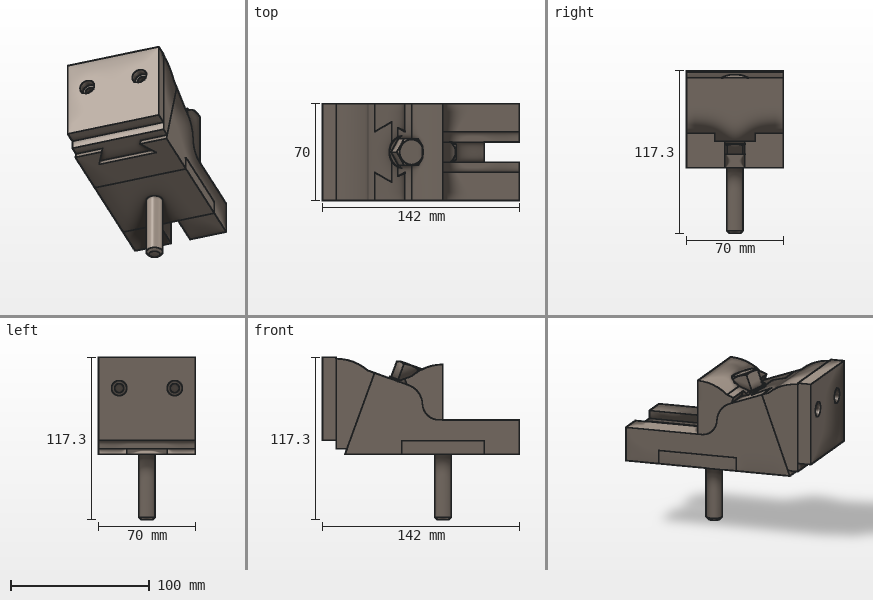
import cadquery as cq
import math

LENGTH = 142.0
WIDTH = 70.0
TILT = 20.0
TOP_Z = 70.0

BASE_RIGHT_X = 55.1
WEDGE_FOOT_X = -70.8
WEDGE_APEX_Z = 58.8
FOOT_Z = 24.9
SWEEP_START_X = -24.7
UPPER_SWEEP_RADIUS = 15.0
LOWER_SWEEP_RADIUS = 12.0
RECESS_FLOOR_Z = 19.0
SLOT_WIDTH = 14.5

NECK_WIDTH = 29.3
TONGUE_DEPTH = 13.4
FLARE = 28.5

PLATE_THICKNESS = 10.0
PLATE_HEIGHT = 60.0
PLATE_LEFT_X = BASE_RIGHT_X - LENGTH
JAW_TOP_Z = 69.0
JAW_BOTTOM_Z = 4.0
CREST_RUN = 22.6
HOOK_TOP_Z = 64.9
HOOK_NOSE_X = -27.5
HOOK_NOSE_Z = 54.5
HOLE_PITCH = 40.0
HOLE_Z = 47.7
HOLE_DIAMETER = 6.5
COUNTERBORE_DIAMETER = 11.0
COUNTERBORE_DEPTH = 6.0

THREAD_DIAMETER = 12.0
HEX_FLATS = 19.0
HEX_FACE_DIAMETER = 18.0
HEX_CHAMFER_ANGLE = 30.0
HEX_HALF_SIDE_ANGLE = 30.0
WASHER_DIAMETER = 24.0
WASHER_THICKNESS = 1.3
SCREW_X = HOOK_NOSE_X
SCREW_HEAD_HEIGHT = 12.9
SCREW_LENGTH = 35.5
BOLT_HEAD_HEIGHT = 7.5
BOLT_END_Z = -47.3
BOLT_END_CHAMFER = 2.0

FOOT_PLATE_LENGTH = 59.7
FOOT_PLATE_HEIGHT = 10.0

SIN = math.sin(math.radians(TILT))
COS = math.cos(math.radians(TILT))
SLOPE = SIN / COS

WEDGE_APEX_X = WEDGE_FOOT_X + WEDGE_APEX_Z * SLOPE
JAW_LEFT_X = PLATE_LEFT_X + PLATE_THICKNESS
LONG = 2 * TOP_Z


def wedge_top_z(x):
    """Height of the sloping top of the wedge, square to its left face."""
    return WEDGE_APEX_Z - (x - WEDGE_APEX_X) * SLOPE


def left_face_x(z):
    """Place of the left wedge face at a height."""
    return WEDGE_FOOT_X + z * SLOPE


def hook_face_x(z):
    """Place of the slanted hook face at a height."""
    return HOOK_NOSE_X + (HOOK_NOSE_Z - z) * SLOPE


def hook_slope_z(x):
    """Height of the sloping top of the hook nose, square to the hook face."""
    return HOOK_NOSE_Z + (x - HOOK_NOSE_X) * SLOPE


def crest_arc_middle(crest_x, crest_z, end_x, end_z):
    """Middle point of the arc that is level at the crest and falls to the end point."""
    run = end_x - crest_x
    drop = crest_z - end_z
    radius = (run ** 2 + drop ** 2) / (2 * drop)
    half_angle = math.asin(run / radius) / 2
    return (crest_x + radius * math.sin(half_angle), crest_z - radius * (1 - math.cos(half_angle)))


def block(x_min, x_max, width, z_min, z_max):
    """Box centred on the XZ plane."""
    return cq.Workplane("XY").box(x_max - x_min, width, z_max - z_min).translate(
        ((x_min + x_max) / 2, 0, (z_min + z_max) / 2)
    )


def above(z):
    """Large block that fills the space above a height."""
    return block(-LONG, LONG, LONG, z, z + LONG)


def dovetail(corner_x, corner_z, depth, side):
    """Tongue that starts at a jaw corner and runs down along its slanted face.

    side is +1 for a tongue that points to +X and -1 for one that points to -X.
    """
    neck = NECK_WIDTH / 2
    tip = neck + depth * math.tan(math.radians(FLARE))
    plane = cq.Plane(origin=(corner_x, 0, corner_z), xDir=(COS, 0, -side * SIN), normal=(side * SIN, 0, COS))
    outline = [(0, -neck), (side * depth, -tip), (side * depth, tip), (0, neck)]
    return cq.Workplane(plane).polyline(outline).close().extrude(-LONG)


def hex_fastener(head_height, shank_length):
    """Hexagon head on top of the XY plane, two corners pointing along X, with its shank below."""
    corners = HEX_FLATS / math.cos(math.radians(HEX_HALF_SIDE_ANGLE))
    chamfer_slope = math.tan(math.radians(HEX_CHAMFER_ANGLE))
    cone_rise = head_height + HEX_FACE_DIAMETER / 2 * chamfer_slope
    cone_radius = cone_rise / chamfer_slope
    head = cq.Workplane("XY").polygon(6, corners).extrude(head_height)
    cone_half = cq.Workplane("XZ").polyline([(0, 0), (cone_radius, 0), (0, cone_rise)]).close()
    chamfer_cone = cone_half.revolve(360, (0, 0, 0), (0, 1, 0))
    shank = cq.Workplane("XY").circle(THREAD_DIAMETER / 2).extrude(-shank_length)
    return head.intersect(chamfer_cone).union(shank)


def make_jaw_plate():
    plate = block(PLATE_LEFT_X, JAW_LEFT_X, WIDTH, TOP_Z - PLATE_HEIGHT, TOP_Z)
    front = cq.Plane(origin=(PLATE_LEFT_X, 0, HOLE_Z), xDir=(0, -1, 0), normal=(-1, 0, 0))
    return (
        cq.Workplane(front)
        .add(plate)
        .pushPoints([(-HOLE_PITCH / 2, 0), (HOLE_PITCH / 2, 0)])
        .cboreHole(HOLE_DIAMETER, COUNTERBORE_DIAMETER, COUNTERBORE_DEPTH)
    )


def make_jaw():
    crest_end_x = JAW_LEFT_X + CREST_RUN
    crest_end = (crest_end_x, wedge_top_z(crest_end_x))
    body = (
        cq.Workplane("XZ")
        .moveTo(JAW_LEFT_X, JAW_BOTTOM_Z)
        .lineTo(JAW_LEFT_X, JAW_TOP_Z)
        .threePointArc(crest_arc_middle(JAW_LEFT_X, JAW_TOP_Z, *crest_end), crest_end)
        .lineTo(WEDGE_APEX_X, WEDGE_APEX_Z)
        .lineTo(left_face_x(JAW_BOTTOM_Z), JAW_BOTTOM_Z)
        .close()
        .extrude(WIDTH / 2, both=True)
    )
    return body.union(jaw_tongue.intersect(above(JAW_BOTTOM_Z)))


def make_base_blank():
    """Wedge and foot, joined by an S of two tangent arcs."""
    start_z = wedge_top_z(SWEEP_START_X)
    centre_rise = UPPER_SWEEP_RADIUS * COS + LOWER_SWEEP_RADIUS - (start_z - FOOT_Z)
    steepest = math.acos(centre_rise / (UPPER_SWEEP_RADIUS + LOWER_SWEEP_RADIUS))
    middle_x = SWEEP_START_X + UPPER_SWEEP_RADIUS * (math.sin(steepest) - SIN)
    middle_z = start_z - UPPER_SWEEP_RADIUS * (COS - math.cos(steepest))
    end_x = middle_x + LOWER_SWEEP_RADIUS * math.sin(steepest)
    return (
        cq.Workplane("XZ")
        .moveTo(WEDGE_FOOT_X, 0)
        .lineTo(WEDGE_APEX_X, WEDGE_APEX_Z)
        .lineTo(SWEEP_START_X, start_z)
        .tangentArcPoint((middle_x, middle_z), relative=False)
        .tangentArcPoint((end_x, FOOT_Z), relative=False)
        .lineTo(BASE_RIGHT_X, FOOT_Z)
        .lineTo(BASE_RIGHT_X, 0)
        .close()
        .extrude(WIDTH / 2, both=True)
    )


def make_base():
    """Base with the recess and bolt slot of the foot and a matching cavity for each neighbour."""
    recess = block(0, BASE_RIGHT_X, NECK_WIDTH, RECESS_FLOOR_Z, FOOT_Z)
    slot = block(0, BASE_RIGHT_X, SLOT_WIDTH, 0, FOOT_Z)
    slot_end = cq.Workplane("XY").circle(SLOT_WIDTH / 2).extrude(RECESS_FLOOR_Z)
    return (
        base_blank.cut(jaw_tongue)
        .cut(hook)
        .cut(recess)
        .cut(slot)
        .cut(slot_end)
        .cut(foot_plate)
        .cut(bolt)
        .cut(screw)
    )


def make_hook():
    """Full-width hook above the base, with a central neck and a dovetail tongue let into the base."""
    crest_end = (-CREST_RUN, hook_slope_z(-CREST_RUN))
    full_width = (
        cq.Workplane("XZ")
        .moveTo(0, RECESS_FLOOR_Z)
        .lineTo(0, HOOK_TOP_Z)
        .threePointArc(crest_arc_middle(0, HOOK_TOP_Z, *crest_end), crest_end)
        .lineTo(HOOK_NOSE_X, HOOK_NOSE_Z)
        .lineTo(hook_face_x(RECESS_FLOOR_Z), RECESS_FLOOR_Z)
        .close()
        .extrude(WIDTH / 2, both=True)
    )
    tongue_run = (HOOK_NOSE_Z - wedge_top_z(HOOK_NOSE_X)) / (2 * SLOPE)
    tongue = dovetail(HOOK_NOSE_X, HOOK_NOSE_Z, tongue_run / COS, -1).intersect(above(RECESS_FLOOR_Z))
    neck = full_width.intersect(block(-LONG, LONG, NECK_WIDTH, 0, LONG))
    upper = full_width.cut(base_blank)
    return upper.union(neck).union(tongue).cut(screw).cut(washer)


def on_wedge_top(body):
    """Move a body from the origin to the screw seat and lean it square to the wedge top."""
    return body.rotate((0, 0, 0), (0, 1, 0), TILT).translate((SCREW_X, 0, wedge_top_z(SCREW_X)))


def make_screw():
    """Screw whose head rests on the washer, two corners pointing along the slope."""
    screw_body = hex_fastener(SCREW_HEAD_HEIGHT, SCREW_LENGTH)
    return on_wedge_top(screw_body.translate((0, 0, WASHER_THICKNESS)))


def make_washer():
    outline = cq.Workplane("XY").circle(WASHER_DIAMETER / 2).circle(THREAD_DIAMETER / 2)
    ring = outline.extrude(WASHER_THICKNESS)
    return on_wedge_top(ring)


def make_bolt():
    """Vertical bolt whose head rests on the foot plate, two flats square to X."""
    bolt_body = hex_fastener(BOLT_HEAD_HEIGHT, FOOT_PLATE_HEIGHT - BOLT_END_Z)
    bolt_body = bolt_body.faces("<Z").chamfer(BOLT_END_CHAMFER)
    return bolt_body.rotate((0, 0, 0), (0, 0, 1), HEX_HALF_SIDE_ANGLE).translate((0, 0, FOOT_PLATE_HEIGHT))


def make_foot_plate():
    plate = block(-FOOT_PLATE_LENGTH / 2, FOOT_PLATE_LENGTH / 2, WIDTH, 0, FOOT_PLATE_HEIGHT)
    return plate.faces(">Z").workplane(origin=(0, 0, 0)).hole(THREAD_DIAMETER)


jaw_tongue = dovetail(WEDGE_APEX_X, WEDGE_APEX_Z, TONGUE_DEPTH, 1)
base_blank = make_base_blank()
screw = make_screw()
washer = make_washer()
bolt = make_bolt()
foot_plate = make_foot_plate()
jaw_plate = make_jaw_plate()
jaw = make_jaw()
hook = make_hook()
base = make_base()

result = cq.Compound.makeCompound(
    [
        jaw_plate.val(),
        jaw.val(),
        base.val(),
        hook.val(),
        screw.val(),
        washer.val(),
        bolt.val(),
        foot_plate.val(),
    ]
)